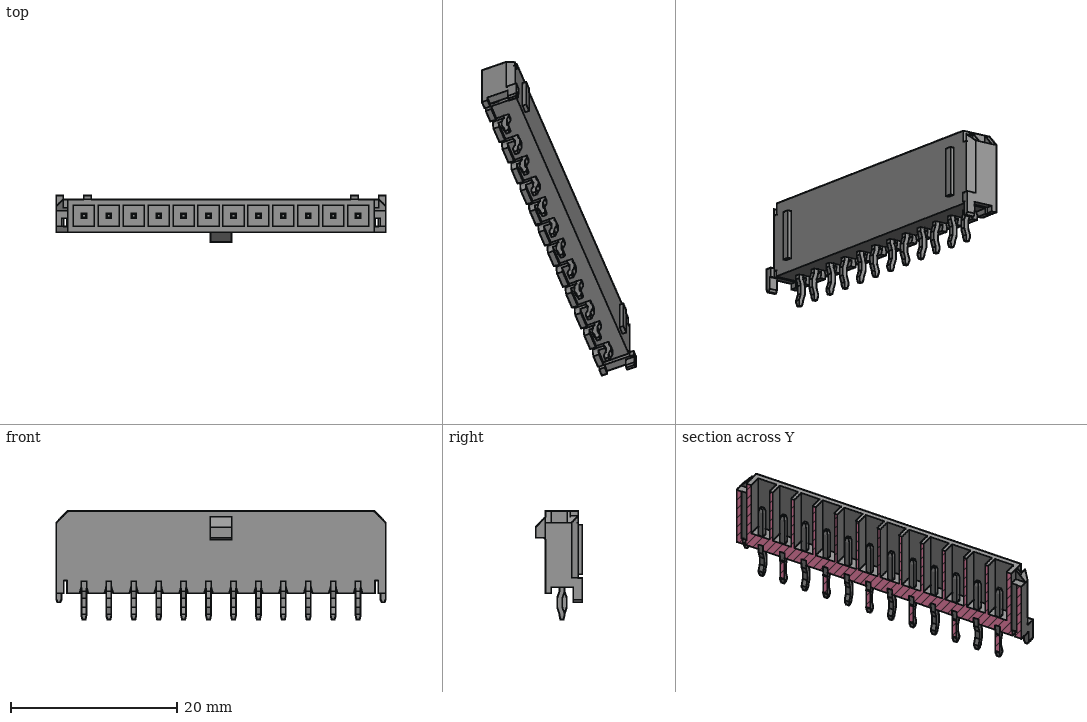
import cadquery as cq

BODY_LENGTH = 39.65
BODY_WIDTH = 3.95
BODY_HEIGHT = 9.9
UNDERSIDE_Z = 0.7
WALL = 0.7
HALF_LENGTH = BODY_LENGTH / 2
FRONT_Y = -BODY_WIDTH / 2
BACK_Y = BODY_WIDTH / 2

PIN_COUNT = 12
ROW_SPAN = 33.0
PITCH = ROW_SPAN / (PIN_COUNT - 1)
CAVITY_SIZE = BODY_WIDTH - 2 * WALL
CAVITY_DEPTH = 7.15

SHOULDER_LENGTH = 1.4
SHOULDER_DROP = 1.43
SHOULDER_X = HALF_LENGTH - SHOULDER_LENGTH
SHOULDER_Z = BODY_HEIGHT - SHOULDER_DROP
POCKET_WIDTH = 1.9
BACK_NOTCH_WIDTH = 1.0
BACK_NOTCH_LENGTH = 0.55

WELL_LENGTH = 0.7
WELL_WIDTH = 0.95
SLOT_WIDTH = 0.35
SLOT_OFFSET = 0.1
SLOT_TOP_Z = 1.5

NOTCH_HEIGHT = 1.43
NOTCH_FLARE = 0.2
NOTCH_FLARE_HEIGHT = 0.65

CORNER_BEVEL = 0.85
FOOT_TOP_Z = 1.85
FOOT_BOTTOM_Z = -1.1
FOOT_PROJECTION = 0.48
FOOT_LENGTH = 0.87
LEG_WIDTH = 1.1
LEG_LENGTH = 0.65
LEG_CHAMFER_HEIGHT = 0.35
LEG_CHAMFER_LENGTH = 0.15

RIB_LENGTH = 0.95
RIB_PROJECTION = FOOT_PROJECTION
RIB_OFFSET = 16.05
RIB_BOTTOM_Z = 2.25
RIB_HEIGHT = 6.0

LATCH_LENGTH = 2.55
LATCH_PROJECTION = 1.2
LATCH_TOP_Z = BODY_HEIGHT - 0.7
LATCH_LEAD_IN = 1.23
LATCH_LIP_Z = BODY_HEIGHT - 3.25
LATCH_ROOT = 0.2

PIN_SIZE = 0.65
PIN_TOP_Z = 6.75
PIN_BOTTOM_Z = -3.17
PIN_TIP_INSET = 0.1
PIN_TIP_LENGTH = 0.5
KINK_OFFSET = 0.28
KINK_TOP_Z = 0.25
KINK_BOTTOM_Z = -2.5
KINK_SLOPE_HEIGHT = 0.85


def box(x_range, y_range, z_range):
    """Axis-aligned block spanning the three (low, high) ranges."""
    (x0, x1), (y0, y1), (z0, z1) = x_range, y_range, z_range
    return cq.Workplane("XY").box(x1 - x0, y1 - y0, z1 - z0, centered=False).translate((x0, y0, z0))


def both_ends(solid):
    """The solid together with its mirror image at the other end of the row."""
    return solid.union(solid.mirror("YZ"))


def make_shell():
    """Housing block with sloped shoulders and a skirt along the front only."""
    shell = (
        cq.Workplane("XZ", origin=(0, BACK_Y, 0))
        .moveTo(-HALF_LENGTH, 0)
        .lineTo(HALF_LENGTH, 0)
        .lineTo(HALF_LENGTH, SHOULDER_Z)
        .lineTo(SHOULDER_X, BODY_HEIGHT)
        .lineTo(-SHOULDER_X, BODY_HEIGHT)
        .lineTo(-HALF_LENGTH, SHOULDER_Z)
        .close()
        .extrude(BODY_WIDTH)
    )
    behind_skirt = box((-HALF_LENGTH, HALF_LENGTH), (FRONT_Y + WALL, BACK_Y), (0, UNDERSIDE_Z))
    return shell.cut(behind_skirt)


def make_corner_bevel():
    """Prism that bevels the rear vertical corner above the foot."""
    return (
        cq.Workplane("XY", origin=(0, 0, FOOT_TOP_Z))
        .moveTo(HALF_LENGTH, BACK_Y)
        .lineTo(HALF_LENGTH - CORNER_BEVEL, BACK_Y)
        .lineTo(HALF_LENGTH, BACK_Y - CORNER_BEVEL)
        .close()
        .extrude(BODY_HEIGHT - FOOT_TOP_Z)
    )


def make_end_recesses():
    """Shoulder pocket, rear notch, well and through slot at the +X end."""
    pocket_front = FRONT_Y + WALL
    slot_start = SHOULDER_X + SLOT_OFFSET
    pocket = box(
        (SHOULDER_X, HALF_LENGTH),
        (pocket_front, pocket_front + POCKET_WIDTH),
        (SHOULDER_Z, BODY_HEIGHT),
    )
    back_notch = box(
        (SHOULDER_X, SHOULDER_X + BACK_NOTCH_LENGTH),
        (BACK_Y - BACK_NOTCH_WIDTH, BACK_Y),
        (SHOULDER_Z, BODY_HEIGHT),
    )
    well = box(
        (SHOULDER_X, SHOULDER_X + WELL_LENGTH),
        (pocket_front, pocket_front + WELL_WIDTH),
        (SLOT_TOP_Z, SHOULDER_Z),
    )
    slot = box((slot_start, slot_start + SLOT_WIDTH), (FRONT_Y, BACK_Y), (0, SLOT_TOP_Z))
    return pocket.union(back_notch).union(well).union(slot)


def make_foot():
    """Rear foot at the +X end: a block behind the housing with a chamfered leg below."""
    back = BACK_Y + FOOT_PROJECTION
    block = box((HALF_LENGTH - FOOT_LENGTH, HALF_LENGTH), (BACK_Y, back), (UNDERSIDE_Z, FOOT_TOP_Z))
    leg_inner = HALF_LENGTH - LEG_LENGTH
    leg = (
        cq.Workplane("XZ", origin=(0, back, 0))
        .moveTo(leg_inner, UNDERSIDE_Z)
        .lineTo(HALF_LENGTH, UNDERSIDE_Z)
        .lineTo(HALF_LENGTH, FOOT_BOTTOM_Z + LEG_CHAMFER_HEIGHT)
        .lineTo(HALF_LENGTH - LEG_CHAMFER_LENGTH, FOOT_BOTTOM_Z)
        .lineTo(leg_inner + LEG_CHAMFER_LENGTH, FOOT_BOTTOM_Z)
        .lineTo(leg_inner, FOOT_BOTTOM_Z + LEG_CHAMFER_HEIGHT)
        .close()
        .extrude(LEG_WIDTH)
    )
    return block.union(leg)


def make_rib():
    """Vertical rib on the rear face, near the +X end."""
    return box(
        (RIB_OFFSET - RIB_LENGTH / 2, RIB_OFFSET + RIB_LENGTH / 2),
        (BACK_Y, BACK_Y + RIB_PROJECTION),
        (RIB_BOTTOM_Z, RIB_BOTTOM_Z + RIB_HEIGHT),
    )


def make_latch():
    """Wedge on the front face with a sloped lead-in and a small bevel under its root."""
    tip_y = FRONT_Y - LATCH_PROJECTION
    return (
        cq.Workplane("YZ")
        .moveTo(FRONT_Y, LATCH_TOP_Z)
        .lineTo(tip_y, LATCH_TOP_Z - LATCH_LEAD_IN)
        .lineTo(tip_y, LATCH_LIP_Z)
        .lineTo(FRONT_Y - LATCH_ROOT, LATCH_LIP_Z)
        .lineTo(FRONT_Y, LATCH_LIP_Z - LATCH_ROOT)
        .close()
        .extrude(LATCH_LENGTH / 2, both=True)
    )


def make_cavity(x):
    """Square mating cavity around the pin at x."""
    half = CAVITY_SIZE / 2
    return box((x - half, x + half), (-half, half), (BODY_HEIGHT - CAVITY_DEPTH, BODY_HEIGHT))


def make_notch(x):
    """Notch from the front face back to the pin at x, flared towards the bottom."""
    half = PIN_SIZE / 2
    return (
        cq.Workplane("XZ", origin=(x, -half, 0))
        .moveTo(-half - NOTCH_FLARE, 0)
        .lineTo(-half, NOTCH_FLARE_HEIGHT)
        .lineTo(-half, NOTCH_HEIGHT)
        .lineTo(half, NOTCH_HEIGHT)
        .lineTo(half, NOTCH_FLARE_HEIGHT)
        .lineTo(half + NOTCH_FLARE, 0)
        .close()
        .extrude(BODY_WIDTH / 2 - half)
    )


def make_pin_tip(base_z, direction):
    """Tapered pin end that starts at base_z and points up (+1) or down (-1)."""
    end_size = PIN_SIZE - 2 * PIN_TIP_INSET
    return (
        cq.Workplane("XY", origin=(0, 0, base_z))
        .rect(PIN_SIZE, PIN_SIZE)
        .workplane(offset=direction * PIN_TIP_LENGTH)
        .rect(end_size, end_size)
        .loft(ruled=True)
    )


def make_pin(x, kink):
    """Square pin at x whose tail bows towards +Y (kink = 1) or -Y (kink = -1)."""
    half = PIN_SIZE / 2
    shift = kink * KINK_OFFSET
    shank_top = PIN_TOP_Z - PIN_TIP_LENGTH
    shank_bottom = PIN_BOTTOM_Z + PIN_TIP_LENGTH
    centre_line = [
        (0, shank_top),
        (0, KINK_TOP_Z),
        (shift, KINK_TOP_Z - KINK_SLOPE_HEIGHT),
        (shift, KINK_BOTTOM_Z + KINK_SLOPE_HEIGHT),
        (0, KINK_BOTTOM_Z),
        (0, shank_bottom),
    ]
    front_side = [(y - half, z) for y, z in centre_line]
    back_side = [(y + half, z) for y, z in reversed(centre_line)]
    shank = cq.Workplane("YZ").polyline(front_side + back_side).close().extrude(half, both=True)
    pin = shank.union(make_pin_tip(shank_top, 1)).union(make_pin_tip(shank_bottom, -1))
    return pin.translate((x, 0, 0))


housing = make_shell()
housing = housing.cut(both_ends(make_corner_bevel()))
housing = housing.cut(both_ends(make_end_recesses()))
housing = housing.union(both_ends(make_foot()))
housing = housing.union(both_ends(make_rib()))
housing = housing.union(make_latch())

pin_positions = [i * PITCH - ROW_SPAN / 2 for i in range(PIN_COUNT)]
for x in pin_positions:
    housing = housing.cut(make_cavity(x)).cut(make_notch(x))

result = housing
for i, x in enumerate(pin_positions):
    result = result.union(make_pin(x, 1 if i % 2 == 0 else -1))